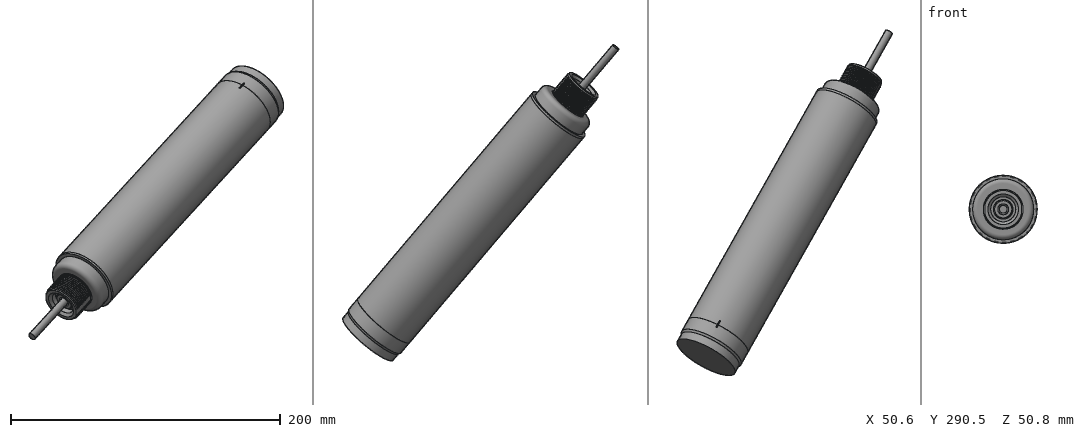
import cadquery as cq


body_radius = 25.3

cable_radius = 3.0

neck_end_y = 37.5
base_face_y = 56.5
thread_radius = 14.8
thread_depth = 1.0
thread_crest_width = 0.3
thread_pitch = 1.5
thread_count = 11
neck_relief_length = 1.0
flat_offset = 13.7
bore_radius = 9.3
bore_mouth_radius = 11.3
bore_floor_y = 43.5
boss_radius = 7.3
boss_height = 2.3
boss_chamfer = 1.0
cable_countersink = 1.2

base_radius = 22.7
base_fillet = 3.5
flange_face_y = 66.8

module_length = 40.7
module_count = 5
housing_start_y = 68.5
housing_end_y = housing_start_y + module_count * module_length

cap_lip_y = 284.2
cap_end_y = 290.5
cap_end_radius = 24.5
cap_shoulder_length = 1.7

rib_start_y = 268.5
rib_end_y = 274.3
rib_width = 1.0
rib_height = 0.15


def cylinder(radius, start_y, end_y):
    """Solid cylinder on the Y axis between two stations."""
    return cq.Workplane("XZ", origin=(0, start_y, 0)).circle(radius).extrude(start_y - end_y)


def turned(profile):
    """Revolve a closed Workplane profile, drawn as (radius, y), about the Y axis."""
    return profile.close().revolve(360, (0, 0, 0), (0, 1, 0))


def make_cable():
    """Round cable that ends level with the face of the base."""
    return cylinder(cable_radius, 0, base_face_y)


def neck_outline():
    """Closed half-section of the neck, with ring-shaped thread ridges along the outside."""
    root_radius = thread_radius - thread_depth
    crest_start = (thread_pitch - thread_crest_width) / 2
    crest_end = crest_start + thread_crest_width
    thread_start_y = base_face_y - neck_relief_length
    profile = (
        cq.Workplane("XY")
        .moveTo(0, flange_face_y)
        .lineTo(thread_radius, flange_face_y)
        .lineTo(thread_radius, base_face_y)
        .lineTo(root_radius, base_face_y)
        .lineTo(root_radius, thread_start_y)
    )
    for ridge in range(thread_count):
        ridge_y = thread_start_y - ridge * thread_pitch
        profile = profile.lineTo(thread_radius, ridge_y - crest_start)
        profile = profile.lineTo(thread_radius, ridge_y - crest_end)
        profile = profile.lineTo(root_radius, ridge_y - thread_pitch)
    return profile.lineTo(root_radius, neck_end_y).lineTo(0, neck_end_y)


def neck_bore():
    """Cavity of the neck: chamfered mouth, floor and chamfered boss around the cable."""
    mouth_chamfer = bore_mouth_radius - bore_radius
    boss_face_y = bore_floor_y - boss_height
    return turned(
        cq.Workplane("XY")
        .moveTo(0, neck_end_y)
        .lineTo(bore_mouth_radius, neck_end_y)
        .lineTo(bore_radius, neck_end_y + mouth_chamfer)
        .lineTo(bore_radius, bore_floor_y)
        .lineTo(boss_radius, bore_floor_y)
        .lineTo(boss_radius, boss_face_y + boss_chamfer)
        .lineTo(boss_radius - boss_chamfer, boss_face_y)
        .lineTo(cable_radius + cable_countersink, boss_face_y)
        .lineTo(cable_radius, boss_face_y + cable_countersink)
        .lineTo(0, boss_face_y + cable_countersink)
    )


def neck_flats():
    """Two blocks that cut wrench flats on the -X and +X sides of the exposed neck."""
    block_width = thread_radius
    length = base_face_y - neck_end_y
    return (
        cq.Workplane("XY")
        .pushPoints([(side * (flat_offset + block_width / 2), neck_end_y + length / 2) for side in (-1, 1)])
        .box(block_width, length, 2 * thread_radius)
    )


def make_neck():
    """Threaded neck whose plain shank sits in the base."""
    return turned(neck_outline()).cut(neck_bore()).cut(neck_flats()).cut(make_cable())


def make_base():
    """Base with a full-width flange, a rounded spigot and a seat for the neck."""
    flange = cylinder(body_radius, flange_face_y, housing_start_y)
    spigot = cylinder(base_radius, base_face_y, flange_face_y).faces("<Y").edges().fillet(base_fillet)
    neck_seat = cylinder(thread_radius, base_face_y, flange_face_y)
    return flange.union(spigot).cut(neck_seat)


def make_housing():
    """Plain cylindrical housing of the light modules."""
    return cylinder(body_radius, housing_start_y, housing_end_y)


def make_cap():
    """End cap with a sloped shoulder, a reduced end and an index rib."""
    rib_length = rib_end_y - rib_start_y
    rib_top = body_radius + rib_height
    rib = (
        cq.Workplane("XY", origin=(0, rib_start_y + rib_length / 2, 0))
        .rect(rib_width, rib_length)
        .extrude(rib_top)
        .cut(make_housing())
    )
    turned_cap = turned(
        cq.Workplane("XY")
        .moveTo(0, housing_end_y)
        .lineTo(body_radius, housing_end_y)
        .lineTo(body_radius, cap_lip_y - cap_shoulder_length)
        .lineTo(cap_end_radius, cap_lip_y)
        .lineTo(cap_end_radius, cap_end_y)
        .lineTo(0, cap_end_y)
    )
    return turned_cap.union(rib)


cable = make_cable()
neck = make_neck()
base = make_base()
housing = make_housing()
cap = make_cap()

result = cq.Compound.makeCompound([cable.val(), neck.val(), base.val(), housing.val(), cap.val()])